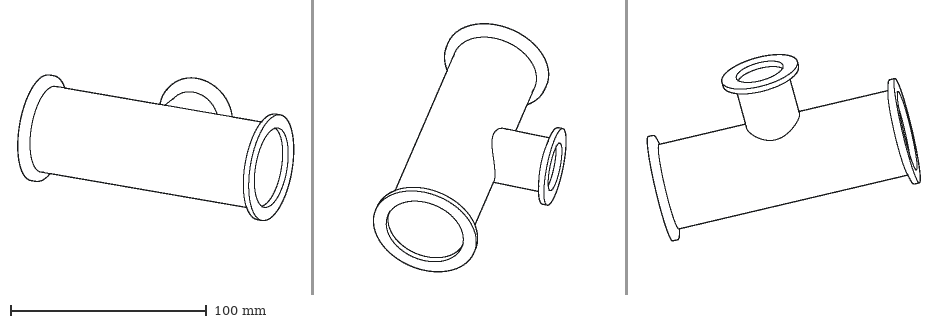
import cadquery as cq
import math

run_length = 130.0
run_radius = 22.2
wall = 1.7

branch_reach = 50.0
branch_radius = 14.0

run_flange_radius = 27.4
branch_flange_radius = 20.0
flange_thickness = 4.5
taper_angle = 15.0
edge_round = 0.9
socket_depth = 3.1

run_half = run_length / 2
run_bore = run_radius - wall
branch_bore = branch_radius - wall


def cylinder(plane, radius, start, end):
    """Cylinder along the plane's normal, between two offsets from the plane."""
    return cq.Workplane(plane).workplane(offset=start).circle(radius).extrude(end - start)


def make_flange(flange_radius, tube_radius):
    """Flange with its face on XY, its back towards +Z and a socket for the tube."""
    taper_depth = (flange_radius - tube_radius) * math.tan(math.radians(taper_angle))
    rim_width = flange_thickness - taper_depth
    ring = (
        cq.Workplane("XZ")
        .moveTo(0, 0)
        .lineTo(flange_radius, 0)
        .lineTo(flange_radius, rim_width)
        .lineTo(tube_radius, flange_thickness)
        .lineTo(0, flange_thickness)
        .close()
        .revolve(360, (0, 0, 0), (0, 1, 0))
    )
    outermost = cq.selectors.RadiusNthSelector(-1)
    ring = ring.edges("%CIRCLE").edges(outermost).edges(">Z").fillet(edge_round)
    ring = ring.cut(cylinder("XY", tube_radius - wall, 0, flange_thickness))
    return ring.cut(cylinder("XY", tube_radius, socket_depth, flange_thickness))


def make_tee():
    """Run and branch tubes as one hollow tee, ending inside the flange sockets."""
    run_end = run_half - socket_depth
    branch_end = branch_reach - socket_depth
    outside = cylinder("YZ", run_radius, -run_end, run_end).union(
        cylinder("ZX", branch_radius, 0, branch_end)
    )
    return outside.cut(cylinder("YZ", run_bore, -run_end, run_end)).cut(
        cylinder("ZX", branch_bore, 0, branch_end)
    )


tee = make_tee()

run_flanges = []
for side in (-1, 1):
    flange = make_flange(run_flange_radius, run_radius)
    flange = flange.rotate((0, 0, 0), (0, 1, 0), -90 * side)
    run_flanges.append(flange.translate((side * run_half, 0, 0)))

branch_flange = (
    make_flange(branch_flange_radius, branch_radius)
    .rotate((0, 0, 0), (1, 0, 0), 90)
    .translate((0, branch_reach, 0))
)

result = cq.Compound.makeCompound(
    [tee.val(), *[flange.val() for flange in run_flanges], branch_flange.val()]
)